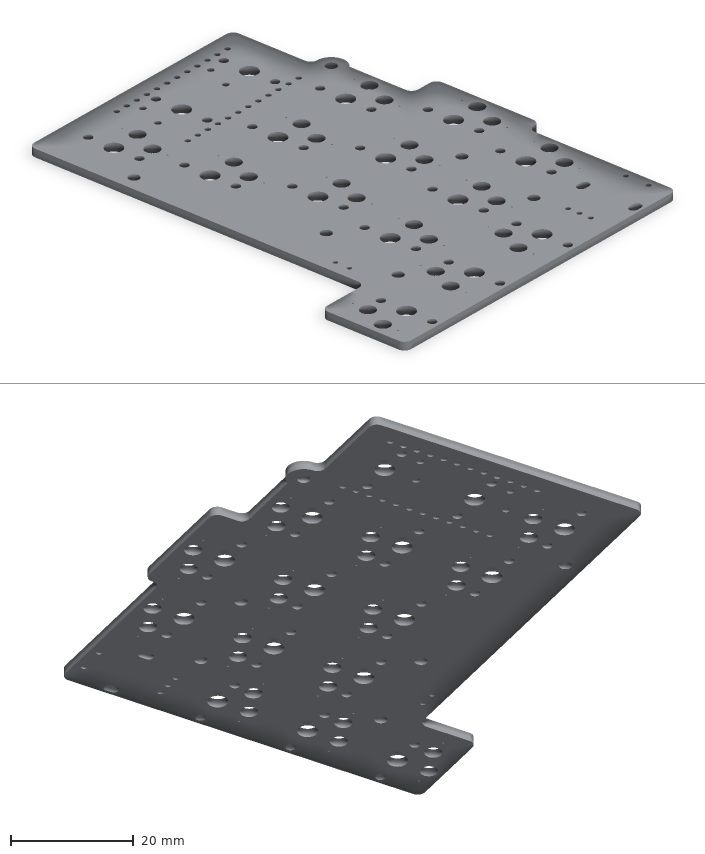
import cadquery as cq
import math

LENGTH = 90.0
WIDTH = 71.0
THICKNESS = 1.6
CORNER_RADIUS = 1.4
RIGHT = LENGTH / 2
LEFT = -RIGHT
TOP = WIDTH / 2
BOTTOM = -TOP
LEFT_TOP = 26.55
SECOND_TOP = 29.7
RAISED_STEP = 3.0
RIGHT_TOP = TOP - RAISED_STEP
RAISED_LEFT = -9.1
RAISED_RIGHT = 13.2
LEFT_BOTTOM = -24.6
THUMB_LEFT = 27.0

TAB_X = -25.0
TAB_Y = LEFT_TOP + CORNER_RADIUS
TAB_RADIUS = 3.0

KEY_PITCH_X = 18.0
KEY_PITCH_Y = 17.0
KEY_ROWS = 3
FIRST_COLUMN_X = -34.0
COLUMN_TOP_Y = [18.0, 21.1, 27.0, 24.0, 7.0]
COLUMN_X = [FIRST_COLUMN_X + i * KEY_PITCH_X for i in range(len(COLUMN_TOP_Y))]

STEM_DIAMETER = 3.4
PEG_DIAMETER = 1.7
PEG_OFFSET = 5.5
SOCKET_DIAMETER = 3.0
CONTACTS = [(0, 5.9), (5.0, 3.8)]
SOLDER_PIN_DIAMETER = 1.3
VIA_DIAMETER = 0.3
VIA_OFFSET = 3.2

PIN_DIAMETER = 1.1
PINS_PER_ROW = 12
PIN_ROW_SPACING = 15.2
PIN_TOP_Y = 21.4
PIN_BOTTOM_Y = -6.4
PIN_PITCH = (PIN_TOP_Y - PIN_BOTTOM_Y) / (PINS_PER_ROW - 1)

ENCODER_X = COLUMN_X[-1]
ENCODER_Y = 23.85
ENCODER_PIN_DIAMETER = 1.0
ENCODER_PIN_PITCH = 2.4
SWITCH_PIN_RISE = 7.0
PHASE_PIN_DROP = 7.5
SLOT_OFFSET = 5.6
SLOT_LENGTH = 2.7
SLOT_WIDTH = 1.7

CONNECTOR_PIN_DIAMETER = 0.9
CONNECTOR_PINS = [(18.5, -22.05), (21.5, -22.05)]

MOUNT_DIAMETER = 2.2
MOUNTS = [
    (TAB_X, TAB_Y),
    (TAB_X, -21.5),
    (11.0, 18.5),
    (11.0, -15.5),
    (29.0, 15.5),
    (29.0, -18.5),
]


def make_plate():
    """Stepped plate with rounded corners and the mounting tab blended into its top edge."""
    outline = [
        (LEFT, LEFT_BOTTOM),
        (THUMB_LEFT, LEFT_BOTTOM),
        (THUMB_LEFT, BOTTOM),
        (RIGHT, BOTTOM),
        (RIGHT, RIGHT_TOP),
        (RAISED_RIGHT, RIGHT_TOP),
        (RAISED_RIGHT, TOP),
        (RAISED_LEFT, TOP),
        (RAISED_LEFT, SECOND_TOP),
        (TAB_X, SECOND_TOP),
        (TAB_X, LEFT_TOP),
        (LEFT, LEFT_TOP),
    ]
    plate = cq.Workplane("XY").polyline(outline).close().extrude(THICKNESS / 2, both=True)
    plate = plate.edges("|Z").fillet(CORNER_RADIUS)
    tab = (
        cq.Workplane("XY")
        .center(TAB_X, TAB_Y)
        .circle(TAB_RADIUS)
        .extrude(THICKNESS / 2, both=True)
    )
    tab_foot = (TAB_X - math.sqrt(TAB_RADIUS**2 - (TAB_Y - LEFT_TOP) ** 2), LEFT_TOP, 0)
    plate = plate.union(tab)
    return plate.edges("|Z").edges(cq.NearestToPointSelector(tab_foot)).fillet(CORNER_RADIUS)


def cut_holes(plate, points, diameter):
    """Drill through holes of one diameter at the given points."""
    drills = (
        cq.Workplane("XY")
        .pushPoints(points)
        .circle(diameter / 2)
        .extrude(THICKNESS, both=True)
    )
    return plate.cut(drills)


def cut_key_holes(plate):
    """Drill every switch footprint; the last column is turned half a turn."""
    stems = []
    pegs = []
    sockets = []
    solder_pins = []
    vias = []
    last_column = len(COLUMN_X) - 1
    for column, (x, top_y) in enumerate(zip(COLUMN_X, COLUMN_TOP_Y)):
        for row in range(KEY_ROWS):
            y = top_y - row * KEY_PITCH_Y
            stems.append((x, y))
            pegs += [(x - PEG_OFFSET, y), (x + PEG_OFFSET, y)]
            under_controller = column == 0 and row < KEY_ROWS - 1
            turned = under_controller or column == last_column
            turn = -1 if turned else 1
            contacts = [(x + turn * dx, y + turn * dy) for dx, dy in CONTACTS]
            if under_controller:
                solder_pins += contacts
                continue
            sockets += contacts
            (inner_x, inner_y), (outer_x, outer_y) = contacts
            vias.append((inner_x - turn * VIA_OFFSET, inner_y))
            vias.append((outer_x + turn * VIA_OFFSET, outer_y))
    plate = cut_holes(plate, stems, STEM_DIAMETER)
    plate = cut_holes(plate, pegs, PEG_DIAMETER)
    plate = cut_holes(plate, sockets, SOCKET_DIAMETER)
    plate = cut_holes(plate, solder_pins, SOLDER_PIN_DIAMETER)
    return cut_holes(plate, vias, VIA_DIAMETER)


def cut_controller_pins(plate):
    """Drill the two pin rows of the controller."""
    pins = [
        (FIRST_COLUMN_X + side * PIN_ROW_SPACING / 2, PIN_TOP_Y - i * PIN_PITCH)
        for side in (-1, 1)
        for i in range(PINS_PER_ROW)
    ]
    return cut_holes(plate, pins, PIN_DIAMETER)


def cut_encoder(plate):
    """Drill the encoder pins and cut its two mounting slots."""
    switch_y = ENCODER_Y + SWITCH_PIN_RISE
    phase_y = ENCODER_Y - PHASE_PIN_DROP
    pins = [(ENCODER_X + i * ENCODER_PIN_PITCH, switch_y) for i in (-1, 1)]
    pins += [(ENCODER_X + i * ENCODER_PIN_PITCH, phase_y) for i in (-1, 0, 1)]
    plate = cut_holes(plate, pins, ENCODER_PIN_DIAMETER)
    slots = (
        cq.Workplane("XY")
        .pushPoints([(ENCODER_X + side * SLOT_OFFSET, ENCODER_Y) for side in (-1, 1)])
        .slot2D(SLOT_LENGTH, SLOT_WIDTH, 90)
        .extrude(THICKNESS, both=True)
    )
    return plate.cut(slots)


plate = make_plate()
plate = cut_key_holes(plate)
plate = cut_controller_pins(plate)
plate = cut_encoder(plate)
plate = cut_holes(plate, CONNECTOR_PINS, CONNECTOR_PIN_DIAMETER)
result = cut_holes(plate, MOUNTS, MOUNT_DIAMETER)